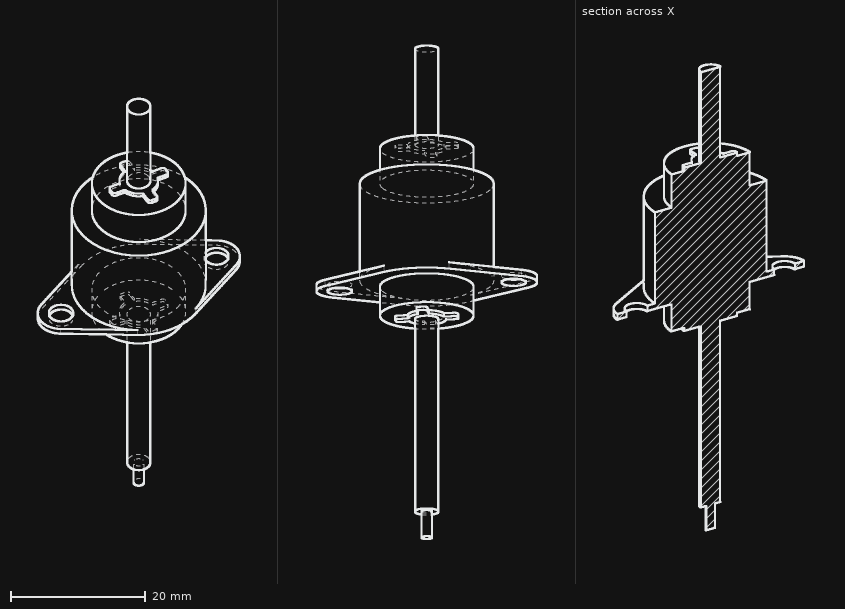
import cadquery as cq
import math

total_height = 76.0
tip_length = 4.0
lower_boss_bottom = 34.5
flange_bottom = 39.0
flange_thickness = 1.0
body_top = 55.0
upper_boss_top = 60.5
cross_thickness = 0.5

body_radius = 20.0 / 2
boss_radius = 14.0 / 2
shaft_radius = 3.5 / 2
tip_radius = 1.6 / 2

flange_length = 33.3
ear_radius = 3.5
ear_hole_diameter = 3.65
ear_offset = flange_length / 2 - ear_radius

cross_span = 9.4
arm_width = 1.6
arm_corner_radius = 0.45
hub_radius = 2.9


def cylinder(radius, bottom, top):
    """Vertical cylinder between two heights."""
    return cq.Workplane("XY").workplane(offset=bottom).circle(radius).extrude(top - bottom)


def flange():
    """Plate wrapped tangentially around the body circle and two ears."""
    normal_angle = math.acos((body_radius - ear_radius) / ear_offset)
    side = math.sin(normal_angle)
    along = math.cos(normal_angle)
    body_x = body_radius * side
    body_y = body_radius * along
    ear_x = ear_radius * side
    ear_y = ear_offset + ear_radius * along
    plate = (
        cq.Workplane("XY")
        .workplane(offset=flange_bottom)
        .moveTo(body_x, body_y)
        .lineTo(ear_x, ear_y)
        .threePointArc((0, flange_length / 2), (-ear_x, ear_y))
        .lineTo(-body_x, body_y)
        .threePointArc((-body_radius, 0), (-body_x, -body_y))
        .lineTo(-ear_x, -ear_y)
        .threePointArc((0, -flange_length / 2), (ear_x, -ear_y))
        .lineTo(body_x, -body_y)
        .threePointArc((body_radius, 0), (body_x, body_y))
        .close()
        .extrude(flange_thickness)
    )
    ear_centres = [(0, ear_offset), (0, -ear_offset)]
    return plate.faces(">Z").workplane(origin=(0, 0, 0)).pushPoints(ear_centres).hole(ear_hole_diameter)


def cross(bottom):
    """Four-armed raised cross with a round hub and softened arm tips."""
    top = bottom + cross_thickness
    shape = cylinder(hub_radius, bottom, top)
    bar = (
        cq.Workplane("XY")
        .workplane(offset=bottom)
        .rect(cross_span, arm_width)
        .extrude(cross_thickness)
        .edges("|Z")
        .fillet(arm_corner_radius)
    )
    for angle in (0, 90):
        shape = shape.union(bar.rotate((0, 0, 0), (0, 0, 1), angle))
    return shape


shaft = cylinder(tip_radius, 0, tip_length).union(cylinder(shaft_radius, tip_length, total_height))
bosses = cylinder(boss_radius, lower_boss_bottom, upper_boss_top)
body = cylinder(body_radius, flange_bottom, body_top)

result = (
    body.union(flange())
    .union(bosses)
    .union(cross(upper_boss_top))
    .union(cross(lower_boss_bottom - cross_thickness))
    .union(shaft)
)